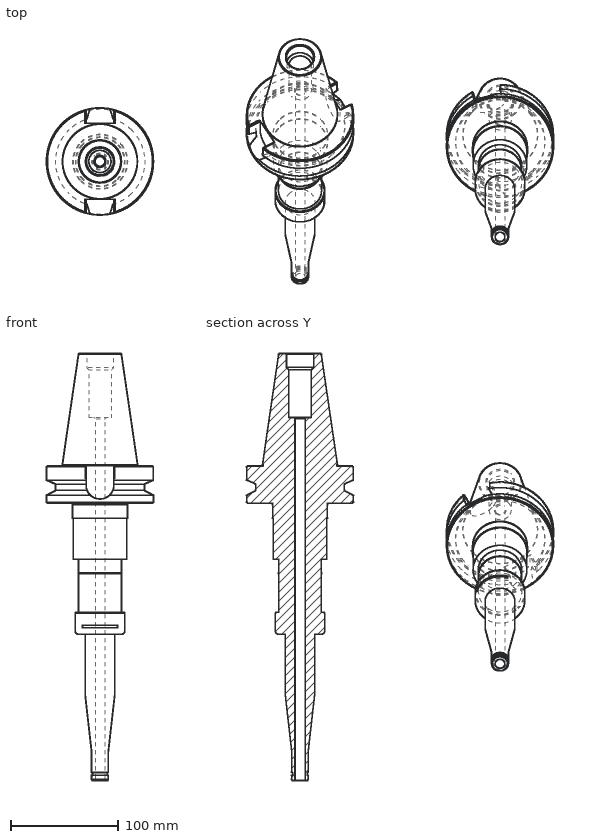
import cadquery as cq
import math


TAPER_TOP = 102.0
TAPER_TOP_DIAMETER = 40.0
TAPER_BOTTOM_DIAMETER = 70.0
TAPER_TOP_CHAMFER = 0.8
TAPER_BOTTOM = -0.8
RELIEF_DIAMETER = 69.2
RELIEF_TOP = -2.0

FLANGE_DIAMETER = 100.0
FLANGE_TOP = -3.0
FLANGE_BOTTOM = -37.8
FLANGE_CHAMFER = 1.0
GROOVE_DIAMETER = 83.0
GROOVE_UPPER_RIM = -16.5
GROOVE_UPPER_ROOT = -20.0
GROOVE_LOWER_ROOT = -26.0
GROOVE_LOWER_RIM = -30.2

KEYWAY_WIDTH = 26.0
KEYWAY_FLOOR = 35.5
KEYWAY_BOTTOM = -34.0
KEYWAY_CHAMFER = 1.0
KEYWAY_CHAMFER_BOTTOM = -14.5

COLLAR_DIAMETER = 51.5
COLLAR_RELIEF_DIAMETER = 51.0
COLLAR_RELIEF_BOTTOM = -39.0
COLLAR_BOTTOM = -51.7
BODY_DIAMETER = 50.0
BODY_BOTTOM = -90.0
NECK_DIAMETER = 40.0
NECK_GROOVE_DIAMETER = 39.8
NECK_GROOVE_TOP = -102.5
NECK_GROOVE_BOTTOM = -103.5

NUT_DIAMETER = 46.5
NUT_TOP = -139.2
NUT_BOTTOM = -160.0
NUT_TOP_CHAMFER = 0.8
NUT_BOTTOM_FILLET = 3.5
NUT_MARK_TOP = -151.5
NUT_MARK_BOTTOM = -153.5
NUT_MARK_DEPTH = 0.5
NUT_MARK_ANGLE = 90

TOOL_DIAMETER = 28.0
TOOL_TAPER_TOP = -216.0
TIP_DIAMETER = 16.0
TIP_TOP = -268.5
TIP_GROOVE_DIAMETER = 14.0
TIP_GROOVE_TOP = -289.0
TIP_GROOVE_BOTTOM = -291.0
TIP_GROOVE_CHAMFER = 0.8
TIP_BOTTOM = -296.0
TIP_CHAMFER = 0.8
TIP_CHAMFER_HEIGHT = 1.0

MOUTH_DIAMETER = 27.0
COUNTERBORE_DIAMETER = 25.0
COUNTERBORE_DEPTH = 13.0
THREAD_DIAMETER = 20.5
THREAD_DEPTH = 59.5
THROUGH_DIAMETER = 9.0
THROUGH_CHAMFER = 1.0


def revolved(sections):
    """Solid of revolution about Z through (diameter, height) pairs, closed along the axis."""
    outline = [(diameter / 2, height) for diameter, height in sections]
    first_height = sections[0][1]
    last_height = sections[-1][1]
    points = [(0, first_height)] + outline + [(0, last_height)]
    return cq.Workplane("XZ").polyline(points).close().revolve(360, (0, 0), (0, 1))


def taper_and_flange():
    return revolved([
        (TAPER_TOP_DIAMETER - 2 * TAPER_TOP_CHAMFER, TAPER_TOP),
        (TAPER_TOP_DIAMETER, TAPER_TOP - TAPER_TOP_CHAMFER),
        (TAPER_BOTTOM_DIAMETER, TAPER_BOTTOM),
        (TAPER_BOTTOM_DIAMETER, RELIEF_TOP),
        (RELIEF_DIAMETER, RELIEF_TOP),
        (RELIEF_DIAMETER, FLANGE_TOP),
        (FLANGE_DIAMETER - 2 * FLANGE_CHAMFER, FLANGE_TOP),
        (FLANGE_DIAMETER, FLANGE_TOP - FLANGE_CHAMFER),
        (FLANGE_DIAMETER, GROOVE_UPPER_RIM),
        (GROOVE_DIAMETER, GROOVE_UPPER_ROOT),
        (GROOVE_DIAMETER, GROOVE_LOWER_ROOT),
        (FLANGE_DIAMETER, GROOVE_LOWER_RIM),
        (FLANGE_DIAMETER, FLANGE_BOTTOM + FLANGE_CHAMFER),
        (FLANGE_DIAMETER - 2 * FLANGE_CHAMFER, FLANGE_BOTTOM),
    ])


def holder_body():
    return revolved([
        (COLLAR_RELIEF_DIAMETER, FLANGE_BOTTOM),
        (COLLAR_RELIEF_DIAMETER, COLLAR_RELIEF_BOTTOM),
        (COLLAR_DIAMETER, COLLAR_RELIEF_BOTTOM),
        (COLLAR_DIAMETER, COLLAR_BOTTOM),
        (BODY_DIAMETER, COLLAR_BOTTOM),
        (BODY_DIAMETER, BODY_BOTTOM),
        (NECK_DIAMETER, BODY_BOTTOM),
        (NECK_DIAMETER, NECK_GROOVE_TOP),
        (NECK_GROOVE_DIAMETER, NECK_GROOVE_TOP),
        (NECK_GROOVE_DIAMETER, NECK_GROOVE_BOTTOM),
        (NECK_DIAMETER, NECK_GROOVE_BOTTOM),
        (NECK_DIAMETER, NUT_TOP),
    ])


def clamping_nut():
    nut = (
        cq.Workplane("XY", origin=(0, 0, NUT_BOTTOM))
        .circle(NUT_DIAMETER / 2)
        .extrude(NUT_TOP - NUT_BOTTOM)
        .faces(">Z")
        .edges()
        .chamfer(NUT_TOP_CHAMFER)
        .faces("<Z")
        .edges()
        .fillet(NUT_BOTTOM_FILLET)
    )
    return nut.cut(nut_mark())


def nut_mark():
    """Shallow circumferential groove centred on the -Y side of the nut."""
    outer_radius = NUT_DIAMETER / 2
    profile = cq.Workplane("XZ").polyline([
        (outer_radius - NUT_MARK_DEPTH, NUT_MARK_BOTTOM),
        (outer_radius + NUT_MARK_DEPTH, NUT_MARK_BOTTOM),
        (outer_radius + NUT_MARK_DEPTH, NUT_MARK_TOP),
        (outer_radius - NUT_MARK_DEPTH, NUT_MARK_TOP),
    ]).close()
    band = profile.revolve(NUT_MARK_ANGLE, (0, 0), (0, 1))
    return band.rotate((0, 0, 0), (0, 0, 1), -90 - NUT_MARK_ANGLE / 2)


def tool():
    return revolved([
        (TOOL_DIAMETER, NUT_BOTTOM),
        (TOOL_DIAMETER, TOOL_TAPER_TOP),
        (TIP_DIAMETER, TIP_TOP),
        (TIP_DIAMETER, TIP_GROOVE_TOP + TIP_GROOVE_CHAMFER),
        (TIP_DIAMETER - 2 * TIP_GROOVE_CHAMFER, TIP_GROOVE_TOP),
        (TIP_GROOVE_DIAMETER, TIP_GROOVE_TOP),
        (TIP_GROOVE_DIAMETER, TIP_GROOVE_BOTTOM),
        (TIP_DIAMETER, TIP_GROOVE_BOTTOM),
        (TIP_DIAMETER, TIP_BOTTOM + TIP_CHAMFER_HEIGHT),
        (TIP_DIAMETER - 2 * TIP_CHAMFER, TIP_BOTTOM),
    ])


def bore():
    counterbore_floor = TAPER_TOP - COUNTERBORE_DEPTH
    thread_top = counterbore_floor - (COUNTERBORE_DIAMETER - THREAD_DIAMETER) / 2
    thread_end = TAPER_TOP - THREAD_DEPTH
    mouth_chamfer = (MOUTH_DIAMETER - COUNTERBORE_DIAMETER) / 2
    return revolved([
        (MOUTH_DIAMETER, TAPER_TOP),
        (COUNTERBORE_DIAMETER, TAPER_TOP - mouth_chamfer),
        (COUNTERBORE_DIAMETER, counterbore_floor),
        (THREAD_DIAMETER, thread_top),
        (THREAD_DIAMETER, thread_end),
        (THROUGH_DIAMETER + 2 * THROUGH_CHAMFER, thread_end),
        (THROUGH_DIAMETER, thread_end - THROUGH_CHAMFER),
        (THROUGH_DIAMETER, TIP_BOTTOM),
    ])


def keyway_slot():
    """Round-ended slot cutter with bevelled top edges, from the keyway floor outward along +Y."""
    radius = KEYWAY_WIDTH / 2
    arc_center = KEYWAY_BOTTOM + radius
    mouth = radius + KEYWAY_CHAMFER
    outline = (
        cq.Workplane("XZ", origin=(0, KEYWAY_FLOOR, 0))
        .moveTo(-mouth, 0)
        .lineTo(-mouth, FLANGE_TOP)
        .lineTo(-radius, FLANGE_TOP - KEYWAY_CHAMFER)
        .lineTo(-radius, arc_center)
        .threePointArc((0, KEYWAY_BOTTOM), (radius, arc_center))
        .lineTo(radius, FLANGE_TOP - KEYWAY_CHAMFER)
        .lineTo(mouth, FLANGE_TOP)
        .lineTo(mouth, 0)
        .close()
    )
    return outline.extrude(-FLANGE_DIAMETER)


def keyway_chamfer():
    """Cutter that bevels the outer vertical edges of the +Y keyway in the upper flange rim."""
    half_width = KEYWAY_WIDTH / 2
    rim = math.sqrt((FLANGE_DIAMETER / 2) ** 2 - half_width ** 2)
    inner = rim - KEYWAY_CHAMFER
    outer = FLANGE_DIAMETER / 2
    flare = half_width + outer - inner
    wedge = cq.Workplane("XY", origin=(0, 0, KEYWAY_CHAMFER_BOTTOM)).polyline([
        (-half_width, inner),
        (half_width, inner),
        (flare, outer),
        (-flare, outer),
    ]).close()
    return wedge.extrude(-KEYWAY_CHAMFER_BOTTOM)


result = taper_and_flange().union(holder_body()).union(clamping_nut()).union(tool())
keyway = keyway_slot().union(keyway_chamfer())
for side_angle in (0, 180):
    result = result.cut(keyway.rotate((0, 0, 0), (0, 0, 1), side_angle))
result = result.cut(bore())